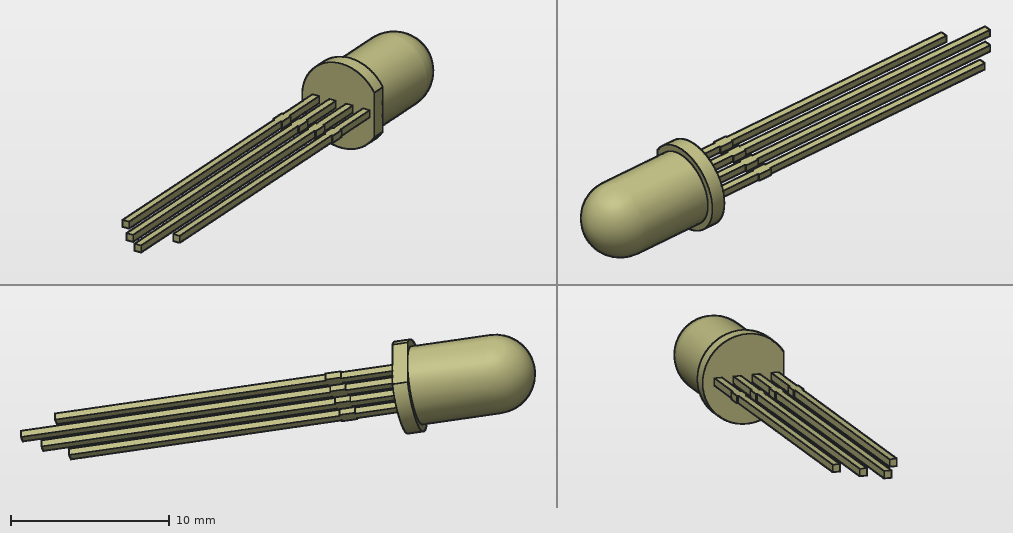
import cadquery as cq
import math

total_length = 33.1
body_height = 8.6
body_radius = 5.0 / 2

flange_radius = 5.9 / 2
flange_thickness = 1.0
flat_x = body_radius

lead_size = 0.5
lead_span = 3.8
longest_lead = total_length - body_height
outer_lead = 21.98
second_lead = 23.47
lead_lengths = [outer_lead, second_lead, longest_lead, outer_lead]
lead_pitch = lead_span / (len(lead_lengths) - 1)

stop_width = 0.7
stop_length = 1.0
stop_distance = 3.4


def make_body():
    """Cylinder with a hemispherical end, revolved about the Y axis."""
    shoulder_y = body_height - body_radius
    arc_mid = body_radius * math.sqrt(0.5)
    return (
        cq.Workplane("XY")
        .lineTo(body_radius, 0)
        .lineTo(body_radius, shoulder_y)
        .threePointArc((arc_mid, shoulder_y + arc_mid), (0, body_height))
        .close()
        .revolve(360, (0, 0, 0), (0, 1, 0))
    )


def make_flange():
    """Disc trimmed by a flat on its +X side."""
    disc = cq.Workplane("XZ").circle(flange_radius).extrude(-flange_thickness)
    keep_width = flange_radius + flat_x
    keep = cq.Workplane("XY").box(keep_width, 2 * flange_thickness, 2 * flange_radius)
    return disc.intersect(keep.translate((flat_x - keep_width / 2, 0, 0)))


def make_bar(x, width, start, length):
    """Straight bar running towards -Y from a distance below the flange."""
    bar = cq.Workplane("XZ", origin=(x, -start, 0))
    return bar.rect(width, lead_size).extrude(length)


def make_lead(x, length):
    """Square lead with its wider stop."""
    pin = make_bar(x, lead_size, 0, length)
    return pin.union(make_bar(x, stop_width, stop_distance, stop_length))


result = make_body().union(make_flange())
for index, length in enumerate(lead_lengths):
    lead_x = index * lead_pitch - lead_span / 2
    result = result.union(make_lead(lead_x, length))